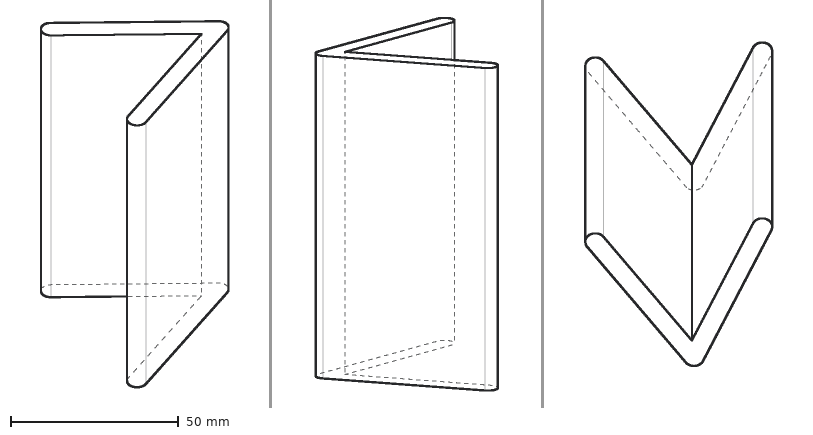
import cadquery as cq
import math

height = 100.0
thickness = 6.0
leg_length = 50.0
straight_leg_angle = -90.0
slanted_leg_angle = 210.0


def leg(angle):
    """Round-ended plate running from the corner axis (the Z axis) along the given direction."""
    middle_x = leg_length / 2 * math.cos(math.radians(angle))
    middle_y = leg_length / 2 * math.sin(math.radians(angle))
    return (
        cq.Workplane("XY")
        .center(middle_x, middle_y)
        .slot2D(leg_length + thickness, thickness, angle)
        .extrude(height)
    )


result = leg(straight_leg_angle).union(leg(slanted_leg_angle))